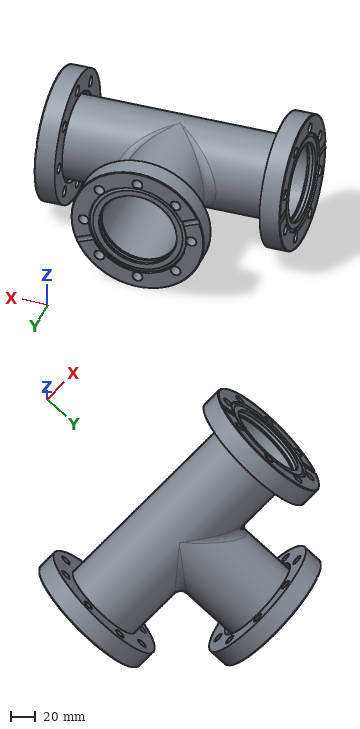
import cadquery as cq


RUN_LENGTH = 210.0
FACE = RUN_LENGTH / 2

TUBE_OD = 70.0
TUBE_ID = 66.0
CROTCH_RADIUS = 7.5
CROTCH_RUNOUT = 0.2
TUBE_SETBACK = 7.5
TUBE_END = FACE - TUBE_SETBACK

FLANGE_OD = 113.5
FLANGE_THICKNESS = 17.5
RIM_CHAMFER = 0.6
BACK = FACE - FLANGE_THICKNESS

BOLT_COUNT = 8
BOLT_CIRCLE = 92.0
BOLT_HOLE = 8.6
BOLT_STEP = 360.0 / BOLT_COUNT

FLANGE_BORE = 66.5
SOCKET_DIAMETER = 70.4
RELIEF_RADIUS = 1.5
RELIEF_SETBACK = 4.6

RECESS_DIAMETER = 82.3
RECESS_DEPTH = 1.9
KNIFE_DIAMETER = 76.6
KNIFE_DEPTH = 0.8
RECESS_FLOOR = FACE - RECESS_DEPTH
KNIFE_FACE = FACE - KNIFE_DEPTH

LEAK_GROOVE_WIDTH = 4.8
LEAK_GROOVE_DEPTH = 0.8
LEAK_GROOVE_RADIUS = (LEAK_GROOVE_WIDTH ** 2 / 4 + LEAK_GROOVE_DEPTH ** 2) / (2 * LEAK_GROOVE_DEPTH)

INSERT_OD = 82.5
RING_BORE = 83.2
RING_BACK_BORE = 76.5
LIP_THICKNESS = 4.0
LIP_FACE = BACK + LIP_THICKNESS

FIXED_PORT = 180
ROTATABLE_PORTS = (0, 90)


def turned(points):
    """Revolve a closed outline of (x, diameter) points about the X axis."""
    outline = [(x, diameter / 2) for x, diameter in points]
    return cq.Workplane("XY").polyline(outline).close().revolve(360, (0, 0, 0), (1, 0, 0))


def x_cylinder(diameter, start, end):
    return cq.Workplane("YZ").workplane(offset=start).circle(diameter / 2).extrude(end - start)


def at_port(body, angle):
    """Move a body built at the +X port to the port at this angle."""
    return body.rotate((0, 0, 0), (0, 0, 1), angle)



def tee_pipes(diameter):
    run = x_cylinder(diameter, -TUBE_END, TUBE_END)
    branch = at_port(x_cylinder(diameter, 0, TUBE_END), 90)
    return run.union(branch)


def make_tee():
    outside = tee_pipes(TUBE_OD)
    slab = cq.Workplane("XY").box(RUN_LENGTH, RUN_LENGTH, TUBE_OD - 2 * CROTCH_RUNOUT)
    trimmed = outside.intersect(slab)
    seams = [edge for edge in trimmed.edges().vals() if edge.geomType() == "ELLIPSE"]
    filleted = trimmed.newObject(seams).fillet(CROTCH_RADIUS)
    return outside.union(filleted).cut(tee_pipes(TUBE_ID))



def drill_bolt_holes(flange, first_angle):
    holes = (
        cq.Workplane("YZ")
        .workplane(offset=BACK)
        .polarArray(BOLT_CIRCLE / 2, first_angle, 360, BOLT_COUNT)
        .circle(BOLT_HOLE / 2)
        .extrude(FLANGE_THICKNESS)
    )
    return flange.cut(holes)


def cut_leak_grooves(flange, angle):
    """Cut two opposite shallow round grooves from the gasket recess to the rim."""
    axis_x = FACE - LEAK_GROOVE_DEPTH + LEAK_GROOVE_RADIUS
    cutter = (
        cq.Workplane("XZ", origin=(axis_x, 0, 0))
        .circle(LEAK_GROOVE_RADIUS)
        .extrude(FLANGE_OD / 2, both=True)
        .cut(x_cylinder(RECESS_DIAMETER, BACK, axis_x))
        .rotate((0, 0, 0), (1, 0, 0), angle)
    )
    return flange.cut(cutter)


def cut_relief_groove(body):
    """Cut the half-round weld relief groove around the bore."""
    cutter = (
        cq.Workplane("XY")
        .center(FACE - RELIEF_SETBACK, FLANGE_BORE / 2)
        .circle(RELIEF_RADIUS)
        .revolve(360, (0, -FLANGE_BORE / 2, 0), (1, -FLANGE_BORE / 2, 0))
    )
    return body.cut(cutter)


RIM = [
    (BACK, FLANGE_OD),
    (FACE - RIM_CHAMFER, FLANGE_OD),
    (FACE, FLANGE_OD - 2 * RIM_CHAMFER),
]
KNIFE_AND_BORE = [
    (KNIFE_FACE, KNIFE_DIAMETER),
    (KNIFE_FACE, FLANGE_BORE),
    (TUBE_END, FLANGE_BORE),
    (TUBE_END, SOCKET_DIAMETER),
]



def make_fixed_flange():
    recess = [(FACE, RECESS_DIAMETER), (RECESS_FLOOR, RECESS_DIAMETER)]
    body = turned([(BACK, SOCKET_DIAMETER)] + RIM + recess + KNIFE_AND_BORE)
    body = cut_relief_groove(body)
    body = drill_bolt_holes(body, BOLT_STEP / 2)
    return cut_leak_grooves(body, 0)


def make_ring():
    stepped_bore = [
        (FACE, RING_BORE),
        (LIP_FACE, RING_BORE),
        (LIP_FACE, RING_BACK_BORE),
        (BACK, RING_BACK_BORE),
    ]
    body = drill_bolt_holes(turned(RIM + stepped_bore), 0)
    return cut_leak_grooves(body, BOLT_STEP / 2)


def make_insert():
    outside = [(LIP_FACE, SOCKET_DIAMETER), (LIP_FACE, INSERT_OD), (RECESS_FLOOR, INSERT_OD)]
    return cut_relief_groove(turned(outside + KNIFE_AND_BORE))



tee = make_tee()
fixed_flange = at_port(make_fixed_flange(), FIXED_PORT)
rings = [at_port(make_ring(), angle) for angle in ROTATABLE_PORTS]
inserts = [at_port(make_insert(), angle) for angle in ROTATABLE_PORTS]

result = cq.Compound.makeCompound(
    [tee.val(), fixed_flange.val()] + [body.val() for body in rings + inserts]
)